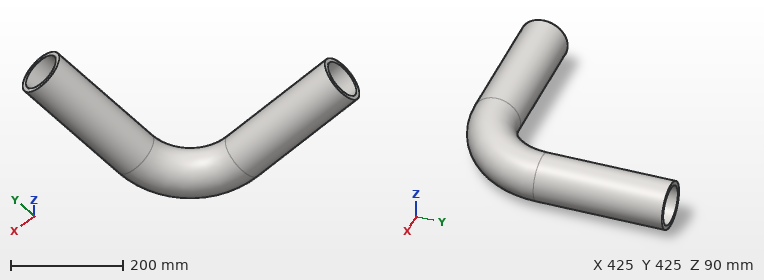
import cadquery as cq

overall_size = 425.0
outer_diameter = 90.0
inner_diameter = 73.5
bend_radius = 1.5 * outer_diameter

leg_length = overall_size - bend_radius - outer_diameter / 2
BEND_ANGLE = 90


def pipe_section(plane):
    """Annular cross-section of the pipe, centred on the plane origin."""
    return cq.Workplane(plane).circle(outer_diameter / 2).circle(inner_diameter / 2)


first_leg = pipe_section("YZ").extrude(-leg_length)

bend = pipe_section("YZ").revolve(BEND_ANGLE, (bend_radius, 0, 0), (bend_radius, 1, 0))

bend_end = cq.Plane(origin=(bend_radius, bend_radius, 0), xDir=(1, 0, 0), normal=(0, 1, 0))
second_leg = pipe_section(bend_end).extrude(leg_length)

result = first_leg.union(bend).union(second_leg)